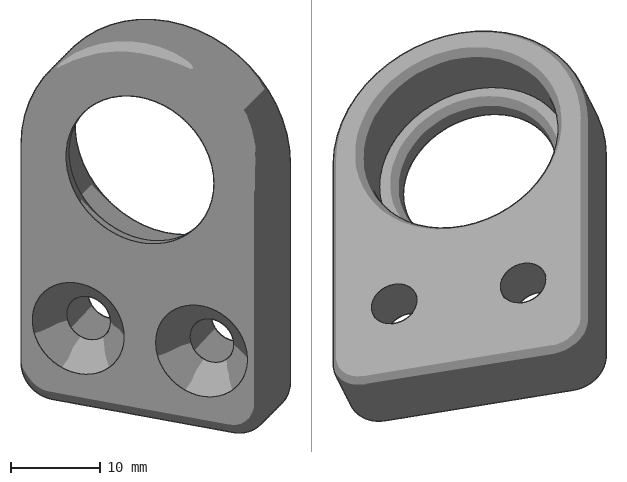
import cadquery as cq
import math

height = 46.0
width = 30.0
thickness = 9.0
corner_radius = 4.0
edge_radius = 1.5

opening_diameter = 18.0
seat_diameter = 22.25
lip_thickness = 2.25
seat_edge_radius = 1.75

screw_spacing = 15.0
screw_height = 10.0
screw_diameter = 5.3
countersink_diameter = 11.2
countersink_angle = 90.0

top_radius = width / 2
arch_height = height - top_radius
front_y = -thickness / 2
back_y = thickness / 2


def make_plate():
    """Arched plate with rounded lower corners and rounded face edges."""
    plate = (
        cq.Workplane("XZ", origin=(0, back_y, 0))
        .moveTo(-top_radius, 0)
        .lineTo(top_radius, 0)
        .lineTo(top_radius, arch_height)
        .threePointArc((0, height), (-top_radius, arch_height))
        .close()
        .extrude(thickness)
    )
    plate = plate.edges("|Y and <Z").fillet(corner_radius)
    return plate.faces("<Y or >Y").edges().fillet(edge_radius)


def cut_round_seat(plate):
    """Cut the front opening and wider bore, rounding their edges toward the back."""
    opening_radius = opening_diameter / 2
    seat_radius = seat_diameter / 2
    lip_y = front_y + lip_thickness
    arc_inset = seat_edge_radius * (1 - math.sqrt(0.5))
    cavity = (
        cq.Workplane("XY")
        .moveTo(0, front_y)
        .lineTo(opening_radius, front_y)
        .lineTo(opening_radius, lip_y - seat_edge_radius)
        .threePointArc(
            (opening_radius + arc_inset, lip_y - arc_inset),
            (opening_radius + seat_edge_radius, lip_y),
        )
        .lineTo(seat_radius, lip_y)
        .lineTo(seat_radius, back_y - seat_edge_radius)
        .threePointArc(
            (seat_radius + arc_inset, back_y - arc_inset),
            (seat_radius + seat_edge_radius, back_y),
        )
        .lineTo(0, back_y)
        .close()
        .revolve(360, (0, 0, 0), (0, 1, 0))
        .translate((0, 0, arch_height))
    )
    return plate.cut(cavity)


def cut_screw_holes(plate):
    """Cut the two through holes, countersunk from the front."""
    return (
        plate.faces("<Y")
        .workplane(origin=(0, front_y, screw_height))
        .pushPoints([(-screw_spacing / 2, 0), (screw_spacing / 2, 0)])
        .cskHole(screw_diameter, countersink_diameter, countersink_angle)
    )


result = cut_screw_holes(cut_round_seat(make_plate()))